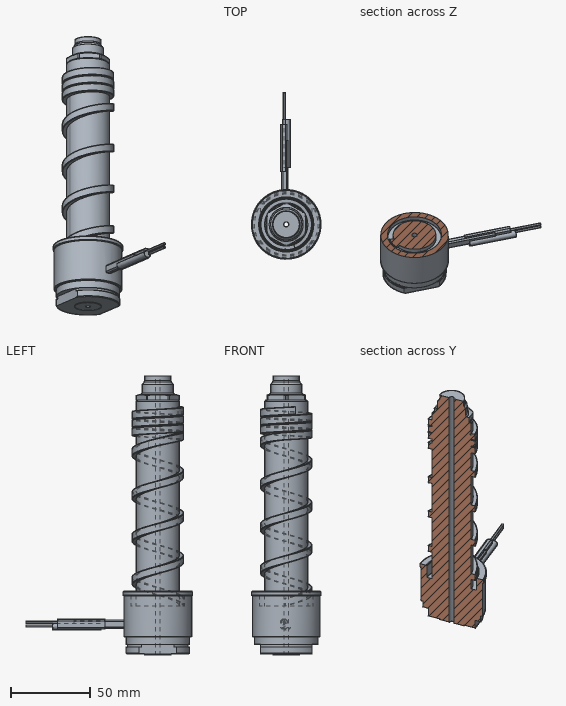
import cadquery as cq
import math

TOTAL_HEIGHT = 176.3
BARREL_DIAMETER = 27.3
BARREL_RADIUS = BARREL_DIAMETER / 2
BARREL_TOP = 161.0
BARREL_CHAMFER = 0.7
BORE_DIAMETER = 3.0

TIP_RADIUS = 8.3
TIP_FLARE_TOP = 173.5
TIP_CONE_TOP = 172.5
TIP_CONE_TOP_RADIUS = 8.6
NECK_RADIUS = 9.9
NECK_TOP = 170.8
NECK_FLARE = 0.9
FLARE_RADIUS = NECK_RADIUS + NECK_FLARE

HEX_TOP = 164.7
HEX_ACROSS_FLATS = 24.2
HEX_BEVEL_HEIGHT = 0.7

RIM_RADIUS = 22.0
RIM_TOP = 40.2
RIM_BOTTOM = 37.2
RIM_CHAMFER = 0.5
CUP_RADIUS = 21.5
CUP_BOTTOM = 11.1
CUP_CHAMFER = 0.5
CUP_MOUTH_RADIUS = 17.5
CUP_BORE_RADIUS = CUP_MOUTH_RADIUS - RIM_CHAMFER
CUP_FLOOR = 30.9

FOOT_RADIUS = 20.1
GROOVE_RADIUS = 19.2
GROOVE_TOP = 6.5
GROOVE_BOTTOM = 5.0
FOOT_BASE = 0.5
FOOT_CHAMFER = 0.5
FOOT_ACROSS_FLATS = 32.6
BASE_DISC_RADIUS = 8.5

COIL_DIAMETER = 32.6
COIL_RADIUS = COIL_DIAMETER / 2
COIL_EMBED = 0.2
COIL_ROOT_RADIUS = BARREL_RADIUS - COIL_EMBED
COIL_STRIP_HEIGHT = 5.0
COIL_BEVEL = 0.4
COIL_TOP_ANGLE = 290.5
COIL_TOP_EDGE = 156.9
CLOSE_PITCH = 5.3
CLOSE_SWEEP = 1092.0
BLEND_SWEEP = 119.0
OPEN_PITCH = 27.0
OPEN_TURNS = 3.7
SPLINE_STEP = 10.0

CABLE_ROOT_Y = 19.4
SHEATH_X = (-3.0, 1.0)
SHEATH_Y = (CABLE_ROOT_Y, 52.9)
SHEATH_Z = (16.7, 22.0)
SHEATH_BEVEL = 0.9
SLEEVE_X = (-3.5, 0.5)
SLEEVE_Y = (33.5, 63.3)
SLEEVE_Z = (16.2, 22.5)
SLEEVE_BEVEL = 1.0
OVAL_X = 0.2
OVAL_Z = 17.8
OVAL_WIDTH = 5.0
OVAL_HEIGHT = 4.2
OVAL_Y = (36.0, 66.5)
LEAD_X = -1.2
LEAD_MIDDLE_Z = 19.4
LEAD_END_Y = 83.4
LEAD_DIAMETER = 1.4
LEAD_SPACING = 2.3


def make_core():
    """Barrel, nozzle tip, cup body and foot, turned as one profile."""
    profile = (
        cq.Workplane("XZ")
        .moveTo(0, 0)
        .lineTo(BASE_DISC_RADIUS, 0)
        .lineTo(BASE_DISC_RADIUS, FOOT_BASE)
        .lineTo(FOOT_RADIUS - FOOT_CHAMFER, FOOT_BASE)
        .lineTo(FOOT_RADIUS, FOOT_BASE + FOOT_CHAMFER)
        .lineTo(FOOT_RADIUS, GROOVE_BOTTOM)
        .lineTo(GROOVE_RADIUS, GROOVE_BOTTOM)
        .lineTo(GROOVE_RADIUS, GROOVE_TOP)
        .lineTo(FOOT_RADIUS, GROOVE_TOP)
        .lineTo(FOOT_RADIUS, CUP_BOTTOM)
        .lineTo(CUP_RADIUS - CUP_CHAMFER, CUP_BOTTOM)
        .lineTo(CUP_RADIUS, CUP_BOTTOM + CUP_CHAMFER)
        .lineTo(CUP_RADIUS, RIM_BOTTOM)
        .lineTo(RIM_RADIUS, RIM_BOTTOM + RIM_CHAMFER)
        .lineTo(RIM_RADIUS, RIM_TOP - RIM_CHAMFER)
        .lineTo(RIM_RADIUS - RIM_CHAMFER, RIM_TOP)
        .lineTo(CUP_MOUTH_RADIUS, RIM_TOP)
        .lineTo(CUP_BORE_RADIUS, RIM_TOP - RIM_CHAMFER)
        .lineTo(CUP_BORE_RADIUS, CUP_FLOOR)
        .lineTo(BARREL_RADIUS, CUP_FLOOR)
        .lineTo(BARREL_RADIUS, BARREL_TOP - BARREL_CHAMFER)
        .lineTo(BARREL_RADIUS - BARREL_CHAMFER, BARREL_TOP)
        .lineTo(NECK_RADIUS, BARREL_TOP)
        .lineTo(NECK_RADIUS, NECK_TOP)
        .lineTo(TIP_CONE_TOP_RADIUS, TIP_CONE_TOP)
        .lineTo(TIP_RADIUS, TIP_FLARE_TOP)
        .lineTo(TIP_RADIUS, TOTAL_HEIGHT)
        .lineTo(0, TOTAL_HEIGHT)
        .close()
    )
    return profile.revolve(360, (0, 0, 0), (0, 1, 0))


def cut_foot_flats(body):
    """Mill two parallel flats, facing +X and -X, on the foot below the groove top."""
    ring = cq.Workplane("XY").circle(RIM_RADIUS).extrude(GROOVE_TOP)
    keep = cq.Workplane("XY").box(
        FOOT_ACROSS_FLATS, 2 * RIM_RADIUS, GROOVE_TOP, centered=(True, True, False)
    )
    return body.cut(ring.cut(keep))


def make_hexagon():
    """Hexagon with turned corners, a bevelled top and a flare up to the neck."""
    height = HEX_TOP - BARREL_TOP
    corner_diameter = HEX_ACROSS_FLATS / math.cos(math.pi / 6)
    prism = (
        cq.Workplane("XY")
        .workplane(offset=BARREL_TOP)
        .transformed(rotate=(0, 0, 30))
        .polygon(6, corner_diameter)
        .extrude(height)
    )
    envelope = (
        cq.Workplane("XZ")
        .moveTo(0, BARREL_TOP)
        .lineTo(BARREL_RADIUS, BARREL_TOP)
        .lineTo(BARREL_RADIUS, HEX_TOP - HEX_BEVEL_HEIGHT)
        .lineTo(FLARE_RADIUS, HEX_TOP)
        .lineTo(0, HEX_TOP)
        .close()
        .revolve(360, (0, 0, 0), (0, 1, 0))
    )
    flare = (
        cq.Workplane("XZ")
        .moveTo(0, HEX_TOP)
        .lineTo(FLARE_RADIUS, HEX_TOP)
        .lineTo(NECK_RADIUS, HEX_TOP + NECK_FLARE)
        .lineTo(0, HEX_TOP + NECK_FLARE)
        .close()
        .revolve(360, (0, 0, 0), (0, 1, 0))
    )
    return prism.intersect(envelope).union(flare)


def coil_drop(sweep):
    """Descent of the strip after winding down by `sweep` degrees from its top end."""
    close = min(sweep, CLOSE_SWEEP)
    blend = min(max(sweep - CLOSE_SWEEP, 0), BLEND_SWEEP)
    opened = max(sweep - CLOSE_SWEEP - BLEND_SWEEP, 0)
    pitch_growth = (OPEN_PITCH - CLOSE_PITCH) * blend / (2 * BLEND_SWEEP)
    return (
        CLOSE_PITCH * close + (CLOSE_PITCH + pitch_growth) * blend + OPEN_PITCH * opened
    ) / 360


def coil_point(radius, height, sweep):
    """Point on a coil edge; `height` is measured from the strip's top edge."""
    angle = math.radians(COIL_TOP_ANGLE - sweep)
    z = COIL_TOP_EDGE + height - coil_drop(sweep)
    return cq.Vector(radius * math.cos(angle), radius * math.sin(angle), z)


def coil_edge(radius, height, start, end):
    """Smooth edge along one corner of the strip between two winding angles."""
    steps = math.ceil((end - start) / SPLINE_STEP)
    sweeps = [start + (end - start) * i / steps for i in range(steps + 1)]
    return cq.Edge.makeSpline([coil_point(radius, height, sweep) for sweep in sweeps])


def make_coil():
    """Close, blending and open stretches of the strip, joined into one solid."""
    corners = [
        (COIL_ROOT_RADIUS, -COIL_STRIP_HEIGHT),
        (COIL_RADIUS - COIL_BEVEL, -COIL_STRIP_HEIGHT),
        (COIL_RADIUS, COIL_BEVEL - COIL_STRIP_HEIGHT),
        (COIL_RADIUS, -COIL_BEVEL),
        (COIL_RADIUS - COIL_BEVEL, 0),
        (COIL_ROOT_RADIUS, 0),
    ]
    blend_end = CLOSE_SWEEP + BLEND_SWEEP
    stations = [0, CLOSE_SWEEP, blend_end, blend_end + 360 * OPEN_TURNS]
    faces = []
    for start, end in zip(stations, stations[1:]):
        edges = [coil_edge(radius, height, start, end) for radius, height in corners]
        for first, second in zip(edges, edges[1:] + edges[:1]):
            faces.append(cq.Face.makeRuledSurface(first, second))
    for sweep in (stations[0], stations[-1]):
        points = [coil_point(radius, height, sweep) for radius, height in corners]
        faces.append(cq.Face.makeFromWires(cq.Wire.makePolygon(points, close=True)))
    return cq.Workplane(cq.Solid.makeSolid(cq.Shell.makeShell(faces)))


def cable_block(x_range, y_range, z_range, bevel):
    """Bar along Y with its four long edges bevelled."""
    sizes = [high - low for low, high in (x_range, y_range, z_range)]
    corner = (x_range[0], y_range[0], z_range[0])
    bar = cq.Workplane("XY").box(*sizes, centered=False).translate(corner)
    return bar.edges("|Y").chamfer(bevel)


def make_cable():
    """Sheath, a bevelled and an oval sleeve side by side, and a pair of bare leads."""
    sheath = cable_block(SHEATH_X, SHEATH_Y, SHEATH_Z, SHEATH_BEVEL)
    sleeve = cable_block(SLEEVE_X, SLEEVE_Y, SLEEVE_Z, SLEEVE_BEVEL)
    oval_start, oval_end = OVAL_Y
    oval_sleeve = (
        cq.Workplane("XZ", origin=(OVAL_X, oval_start, OVAL_Z))
        .ellipse(OVAL_WIDTH / 2, OVAL_HEIGHT / 2)
        .extrude(oval_start - oval_end)
    )
    cable = sheath.union(sleeve).union(oval_sleeve)
    for side in (-1, 1):
        lead_z = LEAD_MIDDLE_Z + side * LEAD_SPACING / 2
        lead = (
            cq.Workplane("XZ", origin=(LEAD_X, CABLE_ROOT_Y, lead_z))
            .circle(LEAD_DIAMETER / 2)
            .extrude(CABLE_ROOT_Y - LEAD_END_Y)
        )
        cable = cable.union(lead)
    return cable


bore = cq.Workplane("XY").circle(BORE_DIAMETER / 2).extrude(TOTAL_HEIGHT)
body = cut_foot_flats(make_core()).union(make_hexagon()).cut(bore)
result = body.union(make_coil()).union(make_cable())